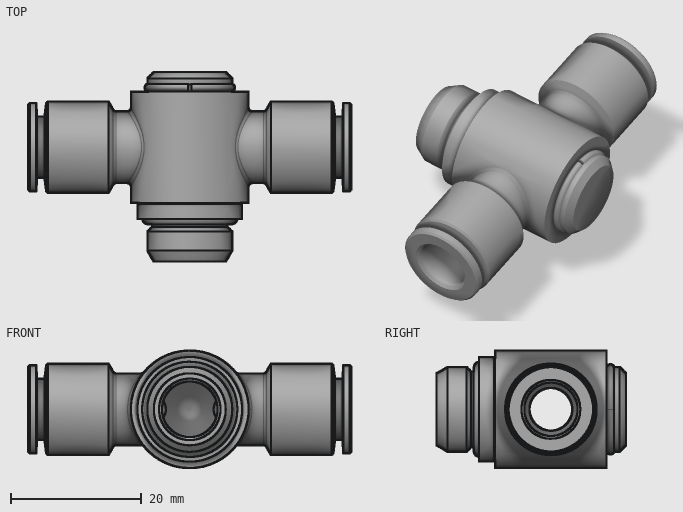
import cadquery as cq
import math


BODY_DIA = 18.0
BODY_HALF_LENGTH = 8.5
BODY_GAP = 0.2
BODY_GAP_DIA = 15.6
COLLAR_DIA = 16.0
COLLAR_END = -11.0
SEAL_SECTION_RADIUS = 1.0
SEAL_CENTER_RADIUS = 6.3
SEAL_CENTER_Y = -10.8
NECK_DIA = 11.6
NECK_END = -12.2
STEM_DIA = 13.0
STEM_TIP_DIA = 11.0
STEM_END = -17.5
STEM_TIP_ANGLE = 30.0

PLUG_END = 11.5
RING_GROOVE_DIA = 11.95
RING_GROOVE_END = 9.6
RING_SECTION_RADIUS = 0.6
RING_OUTER_DIA = 13.8
RING_SLIT = 0.5

BORE_DIA = 8.5
BORE_MOUTH_DIA = 9.4
BORE_DEPTH_END = 3.0
BORE_TIP_ANGLE = 135.0

FLANGE_END = 24.7
FLANGE_RIM_THICKNESS = 1.25
FLANGE_ROOT_THICKNESS = 1.4
FLANGE_DIA = 13.5
EDGE_CHAMFER = 0.3
COLLET_DIA = 9.4
FACE_END = 22.2
SOCKET_END = 21.95
SOCKET_DIA = 14.0
SOCKET_START = 12.42
SHOULDER_ANGLE = 60.0
BRANCH_DIA = 11.0
BRANCH_FILLET = 0.5

PASSAGE_DIA = 6.5
TUBE_DIA = 8.15
TUBE_MOUTH_DIA = 9.0
TUBE_DEPTH = 10.0
TUBE_SEAT_ANGLE = 120.0


def revolve_on_y(profile):
    """Revolve a closed (radius, y) profile about the Y axis."""
    return profile.close().revolve(360, (0, 0, 0), (0, 1, 0))


def make_stem_and_plug():
    """Turned body along Y, from the tip of the threaded stem to the plug."""
    stem_radius = STEM_DIA / 2
    neck_radius = NECK_DIA / 2
    tip_radius = STEM_TIP_DIA / 2
    tip_drop = stem_radius - tip_radius
    tip_length = tip_drop / math.tan(math.radians(STEM_TIP_ANGLE))
    seal_end = SEAL_CENTER_Y - SEAL_SECTION_RADIUS
    seal_rise = SEAL_CENTER_Y - COLLAR_END
    seal_outer = SEAL_CENTER_RADIUS + math.sqrt(SEAL_SECTION_RADIUS**2 - seal_rise**2)
    seal_mid_offset = SEAL_SECTION_RADIUS * math.sqrt(0.5)
    seal_mid = (SEAL_CENTER_RADIUS + seal_mid_offset, SEAL_CENTER_Y - seal_mid_offset)
    collar_start = -BODY_HALF_LENGTH - BODY_GAP
    profile = (
        cq.Workplane("XY")
        .moveTo(0, STEM_END)
        .lineTo(tip_radius, STEM_END)
        .lineTo(stem_radius, STEM_END + tip_length)
        .lineTo(stem_radius, NECK_END - (stem_radius - neck_radius))
        .lineTo(neck_radius, NECK_END)
        .lineTo(neck_radius, seal_end)
        .lineTo(SEAL_CENTER_RADIUS, seal_end)
        .threePointArc(seal_mid, (seal_outer, COLLAR_END))
        .lineTo(COLLAR_DIA / 2, COLLAR_END)
        .lineTo(COLLAR_DIA / 2, collar_start)
        .lineTo(BODY_GAP_DIA / 2, collar_start)
        .lineTo(BODY_GAP_DIA / 2, -BODY_HALF_LENGTH)
        .lineTo(BODY_DIA / 2, -BODY_HALF_LENGTH)
        .lineTo(BODY_DIA / 2, BODY_HALF_LENGTH)
        .lineTo(RING_GROOVE_DIA / 2, BODY_HALF_LENGTH)
        .lineTo(RING_GROOVE_DIA / 2, RING_GROOVE_END)
        .lineTo(stem_radius, RING_GROOVE_END)
        .lineTo(stem_radius, PLUG_END - tip_drop)
        .lineTo(tip_radius, PLUG_END)
        .lineTo(0, PLUG_END)
    )
    return revolve_on_y(profile)


def make_retaining_ring():
    """Round-section ring filling the plug groove, slit at +Z."""
    ring_radius = RING_OUTER_DIA / 2
    center_radius = ring_radius - RING_SECTION_RADIUS
    ring_start = BODY_HALF_LENGTH
    ring_end = ring_start + 2 * RING_SECTION_RADIUS
    groove_radius = RING_GROOVE_DIA / 2
    profile = (
        cq.Workplane("XY")
        .moveTo(groove_radius, ring_start)
        .lineTo(center_radius, ring_start)
        .threePointArc((ring_radius, ring_start + RING_SECTION_RADIUS), (center_radius, ring_end))
        .lineTo(groove_radius, ring_end)
    )
    slit = cq.Workplane("XY").box(
        RING_SLIT, PLUG_END, ring_radius, centered=(True, False, False)
    )
    return revolve_on_y(profile).cut(slit)


def make_branch_neck():
    """Plain cylinder joining the two sockets through the body."""
    return cq.Workplane("YZ").circle(BRANCH_DIA / 2).extrude(SOCKET_START, both=True)


def fillet_branch_roots(body):
    """Round the two edges where the branch neck meets the body cylinder."""
    reach = BODY_DIA / 2 + BRANCH_FILLET
    root_zone = cq.selectors.BoxSelector(
        (-reach, -BRANCH_DIA / 2, -BRANCH_DIA / 2), (reach, BRANCH_DIA / 2, BRANCH_DIA / 2)
    )
    return body.edges(root_zone).edges("not %CIRCLE").edges("not %LINE").fillet(BRANCH_FILLET)


def make_socket():
    """Push-in socket with its collet on the -X side."""
    branch_radius = BRANCH_DIA / 2
    socket_radius = SOCKET_DIA / 2
    flange_radius = FLANGE_DIA / 2
    rim_start = FLANGE_END - FLANGE_RIM_THICKNESS
    root_start = FLANGE_END - FLANGE_ROOT_THICKNESS
    slope = math.radians(SHOULDER_ANGLE)
    fillet_length = BRANCH_FILLET * math.sin(slope)
    cone_end_radius = branch_radius + BRANCH_FILLET * (1 - math.cos(slope))
    cone_end = SOCKET_START - (socket_radius - cone_end_radius) / math.tan(slope)
    fillet_end = cone_end - fillet_length
    fillet_mid = (
        -fillet_end - BRANCH_FILLET * math.sin(slope / 2),
        branch_radius + BRANCH_FILLET * (1 - math.cos(slope / 2)),
    )
    return (
        cq.Workplane("XY")
        .moveTo(-FLANGE_END, 0)
        .lineTo(-FLANGE_END, flange_radius - EDGE_CHAMFER)
        .lineTo(-FLANGE_END + EDGE_CHAMFER, flange_radius)
        .lineTo(-rim_start, flange_radius)
        .lineTo(-root_start, COLLET_DIA / 2)
        .lineTo(-FACE_END, COLLET_DIA / 2)
        .lineTo(-SOCKET_END, socket_radius - EDGE_CHAMFER)
        .lineTo(-SOCKET_END + EDGE_CHAMFER, socket_radius)
        .lineTo(-SOCKET_START, socket_radius)
        .lineTo(-cone_end, cone_end_radius)
        .threePointArc(fillet_mid, (-fillet_end, branch_radius))
        .lineTo(-fillet_end, 0)
        .close()
        .revolve(360, (0, 0, 0), (1, 0, 0))
    )


def make_stem_bore():
    """Blind bore from the stem tip, with a chamfered mouth and a conical bottom."""
    bore_radius = BORE_DIA / 2
    mouth_radius = BORE_MOUTH_DIA / 2
    cone_depth = bore_radius / math.tan(math.radians(BORE_TIP_ANGLE / 2))
    profile = (
        cq.Workplane("XY")
        .moveTo(0, STEM_END)
        .lineTo(mouth_radius, STEM_END)
        .lineTo(bore_radius, STEM_END + mouth_radius - bore_radius)
        .lineTo(bore_radius, BORE_DEPTH_END)
        .lineTo(0, BORE_DEPTH_END + cone_depth)
    )
    return revolve_on_y(profile)


def make_tube_bore():
    """Tube seat on the -X side, narrowing conically to the passage."""
    tube_radius = TUBE_DIA / 2
    mouth_radius = TUBE_MOUTH_DIA / 2
    passage_radius = PASSAGE_DIA / 2
    seat = -FLANGE_END + TUBE_DEPTH
    cone_length = (tube_radius - passage_radius) / math.tan(math.radians(TUBE_SEAT_ANGLE / 2))
    return (
        cq.Workplane("XY")
        .moveTo(-FLANGE_END, 0)
        .lineTo(-FLANGE_END, mouth_radius)
        .lineTo(-FLANGE_END + mouth_radius - tube_radius, tube_radius)
        .lineTo(seat, tube_radius)
        .lineTo(seat + cone_length, passage_radius)
        .lineTo(0, passage_radius)
        .lineTo(0, 0)
        .close()
        .revolve(360, (0, 0, 0), (1, 0, 0))
    )


body = fillet_branch_roots(make_stem_and_plug().union(make_branch_neck()))
body = body.union(make_retaining_ring())

socket = make_socket()
tube_bore = make_tube_bore()
body = body.union(socket).union(socket.mirror("YZ"))
body = body.cut(make_stem_bore())
result = body.cut(tube_bore).cut(tube_bore.mirror("YZ"))